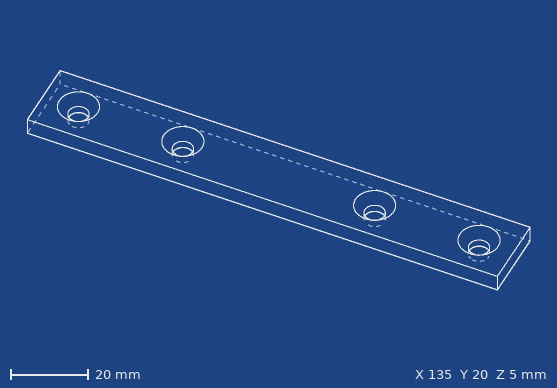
import cadquery as cq

length = 135.0
width = 20.0
thickness = 5.0

hole_diameter = 5.5
countersink_diameter = 11.0
countersink_angle = 90.0
end_margin = 10.0
hole_pitch = 30.0

outer_x = length / 2 - end_margin
inner_x = outer_x - hole_pitch
hole_centres = [(x, 0) for x in (-outer_x, -inner_x, inner_x, outer_x)]

bar = cq.Workplane("XY").box(length, width, thickness)

result = (
    bar.faces(">Z")
    .workplane()
    .pushPoints(hole_centres)
    .cskHole(hole_diameter, countersink_diameter, countersink_angle)
)